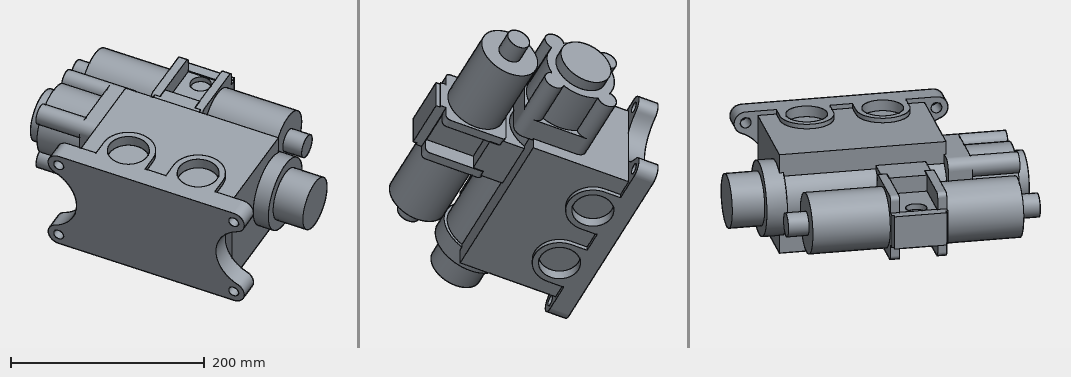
import cadquery as cq
import math


PLATE_THICKNESS = 22.0
PLATE_HEIGHT = 120.0
LUG_RADIUS = 12.2
LUG_SPACING = 201.3
MOUNT_HOLE_DIAMETER = 11.3
WAIST_WIDTH = 160.5

BODY_LENGTH = 176.0
BODY_TOP = 131.0
BODY_HEIGHT = 110.0

PORT_SPACING = 80.3
PORT_AXIS_Y = 40.0
PORT_BOSS_RADIUS = 28.2
PORT_BORE_RADIUS = 21.5
PORT_DEPTH = 12.0

MAIN_AXIS_Y = 111.5
MAIN_LEFT = -174.0
MAIN_RIGHT = 139.5
CAP_RADIUS = 28.5
SPOOL_RADIUS = 36.5
FLANGE_RADIUS = 39.8
FLANGE_LEFT = 83.7
FLANGE_RIGHT = 105.3

HOUSING_SIZE = 81.8
HOUSING_LEFT = -161.5
HOUSING_PLATE_LEFT = -111.5
HOUSING_RIGHT = -86.0
POST_RADIUS = 11.0
HOUSING_BARREL_RADIUS = 38.5

PILOT_X = -PORT_SPACING / 2
PILOT_AXIS_Y = 188.0
COIL_RADIUS = 32.0
COIL_SPAN = 222.5
PIN_RADIUS = 12.5
PIN_SPAN = 266.0

BLOCK_WIDTH = 59.3
BLOCK_HEIGHT = 71.0
BLOCK_BOTTOM = 153.5
BLOCK_TOP = 222.0
BLOCK_FILLET = 5.0
NECK_WIDTH = 52.7
NECK_HEIGHT = 69.0
NECK_TOP = 167.5
RECESS_WIDTH = 40.0
RECESS_TOP = 221.3
WEB_HEIGHT = 33.2
TAB_HEIGHT = 36.0
TAB_SHOULDER = 228.2
TAB_TOP = 232.5
TAB_END_WIDTH = 55.2
SOCKET_RADIUS = 11.0
SOCKET_AXIS_Y = 209.7
SOCKET_DEPTH = 6.3


def box(x_min, x_max, y_min, y_max, height):
    """Box centred on Z = 0."""
    return cq.Workplane("XY").box(
        x_max - x_min, y_max - y_min, height, centered=(False, False, True)
    ).translate((x_min, y_min, 0))


def pilot_box(width, y_min, y_max, height):
    """Box centred on the pilot valve in X and on Z = 0."""
    return box(PILOT_X - width / 2, PILOT_X + width / 2, y_min, y_max, height)


def rod(x_min, x_max, axis_y, radius, axis_z=0):
    """Cylinder parallel to X."""
    start = cq.Workplane("YZ", origin=(x_min, axis_y, axis_z))
    return start.circle(radius).extrude(x_max - x_min)


def mounting_plate():
    """Plate with four round lugs and a tangent scoop in each side."""
    lug_x = LUG_SPACING / 2
    lug_z = PLATE_HEIGHT / 2 - LUG_RADIUS
    offset = lug_x - WAIST_WIDTH / 2
    scoop_radius = (offset**2 + lug_z**2 - LUG_RADIUS**2) / (2 * (offset + LUG_RADIUS))
    scoop_x = WAIST_WIDTH / 2 + scoop_radius
    share = LUG_RADIUS / (LUG_RADIUS + scoop_radius)
    touch_x = lug_x + share * (scoop_x - lug_x)
    touch_z = lug_z * (1 - share)
    middle_angle = (math.pi / 2 + math.atan2(touch_z - lug_z, touch_x - lug_x)) / 2
    middle_x = lug_x + LUG_RADIUS * math.cos(middle_angle)
    middle_z = lug_z + LUG_RADIUS * math.sin(middle_angle)
    edge_z = PLATE_HEIGHT / 2

    outline = (
        cq.Workplane("XZ")
        .moveTo(-lug_x, edge_z)
        .lineTo(lug_x, edge_z)
        .threePointArc((middle_x, middle_z), (touch_x, touch_z))
        .threePointArc((WAIST_WIDTH / 2, 0), (touch_x, -touch_z))
        .threePointArc((middle_x, -middle_z), (lug_x, -edge_z))
        .lineTo(-lug_x, -edge_z)
        .threePointArc((-middle_x, -middle_z), (-touch_x, -touch_z))
        .threePointArc((-WAIST_WIDTH / 2, 0), (-touch_x, touch_z))
        .threePointArc((-middle_x, middle_z), (-lug_x, edge_z))
        .close()
    )
    holes = (
        cq.Workplane("XZ")
        .rect(LUG_SPACING, 2 * lug_z, forConstruction=True)
        .vertices()
        .circle(MOUNT_HOLE_DIAMETER / 2)
        .extrude(-PLATE_THICKNESS)
    )
    return outline.extrude(-PLATE_THICKNESS).cut(holes)


def port_discs(radius, height):
    """One Z cylinder per port position, centred on Z = 0."""
    return (
        cq.Workplane("XY", origin=(0, PORT_AXIS_Y, -height / 2))
        .pushPoints([(-PORT_SPACING / 2, 0), (PORT_SPACING / 2, 0)])
        .circle(radius)
        .extrude(height)
    )


def body():
    """Main block on the plate with two port bosses on each broad face."""
    block = box(-BODY_LENGTH / 2, BODY_LENGTH / 2, PLATE_THICKNESS, BODY_TOP, BODY_HEIGHT)
    solid = block.union(mounting_plate())
    solid = solid.union(port_discs(PORT_BOSS_RADIUS, PLATE_HEIGHT))
    for x in (-PORT_SPACING / 2, PORT_SPACING / 2):
        solid = solid.union(
            box(x - PORT_BOSS_RADIUS, x + PORT_BOSS_RADIUS, 0, PORT_AXIS_Y, PLATE_HEIGHT)
        )
    return solid


def port_bores():
    """Blind bores entering the ports from both broad faces."""
    core = port_discs(PORT_BORE_RADIUS, PLATE_HEIGHT - 2 * PORT_DEPTH)
    return port_discs(PORT_BORE_RADIUS, PLATE_HEIGHT).cut(core)


def main_spool():
    """Round spool housing with end caps and a flange at the right."""
    return (
        rod(MAIN_LEFT, MAIN_RIGHT, MAIN_AXIS_Y, CAP_RADIUS)
        .union(rod(HOUSING_RIGHT, FLANGE_LEFT, MAIN_AXIS_Y, SPOOL_RADIUS))
        .union(rod(FLANGE_LEFT, FLANGE_RIGHT, MAIN_AXIS_Y, FLANGE_RADIUS))
    )


def end_housing():
    """Rounded square plate carrying a barrel and four corner posts."""
    half = HOUSING_SIZE / 2
    plate = box(
        HOUSING_PLATE_LEFT, HOUSING_RIGHT, MAIN_AXIS_Y - half, MAIN_AXIS_Y + half, HOUSING_SIZE
    )
    solid = plate.edges("|X").fillet(POST_RADIUS)
    solid = solid.union(rod(HOUSING_LEFT, HOUSING_PLATE_LEFT, MAIN_AXIS_Y, HOUSING_BARREL_RADIUS))
    post = half - POST_RADIUS
    for y in (MAIN_AXIS_Y - post, MAIN_AXIS_Y + post):
        for z in (-post, post):
            solid = solid.union(rod(HOUSING_LEFT, HOUSING_PLATE_LEFT, y, POST_RADIUS, z))
    return solid


def pilot_block():
    """Block with recessed broad faces, a neck down to the body and an end tab."""
    block = pilot_box(BLOCK_WIDTH, BLOCK_BOTTOM, BLOCK_TOP, BLOCK_HEIGHT)
    block = block.edges("|X").fillet(BLOCK_FILLET)
    opening = pilot_box(RECESS_WIDTH, BLOCK_BOTTOM, BLOCK_TOP, BLOCK_HEIGHT)
    web = pilot_box(RECESS_WIDTH, BLOCK_BOTTOM, RECESS_TOP, WEB_HEIGHT)
    neck = pilot_box(NECK_WIDTH, BODY_TOP, NECK_TOP, NECK_HEIGHT)
    tab = pilot_box(BLOCK_WIDTH, RECESS_TOP, TAB_SHOULDER, TAB_HEIGHT)
    tab_end = pilot_box(TAB_END_WIDTH, TAB_SHOULDER, TAB_TOP, TAB_HEIGHT)
    socket = (
        cq.Workplane("XY", origin=(PILOT_X, SOCKET_AXIS_Y, WEB_HEIGHT / 2))
        .circle(SOCKET_RADIUS)
        .extrude(-SOCKET_DEPTH)
    )
    return block.cut(opening).union(web).union(neck).union(tab).union(tab_end).cut(socket)


def pilot_coil(side):
    """Coil with its pin on one side of the pilot block, side being -1 or 1."""
    face = PILOT_X + side * BLOCK_WIDTH / 2
    coil_end = PILOT_X + side * COIL_SPAN / 2
    pin_end = PILOT_X + side * PIN_SPAN / 2
    coil = rod(min(face, coil_end), max(face, coil_end), PILOT_AXIS_Y, COIL_RADIUS)
    pin = rod(min(coil_end, pin_end), max(coil_end, pin_end), PILOT_AXIS_Y, PIN_RADIUS)
    return coil.union(pin)


result = (
    body()
    .union(main_spool())
    .union(end_housing())
    .union(pilot_block())
    .union(pilot_coil(-1))
    .union(pilot_coil(1))
    .cut(port_bores())
)